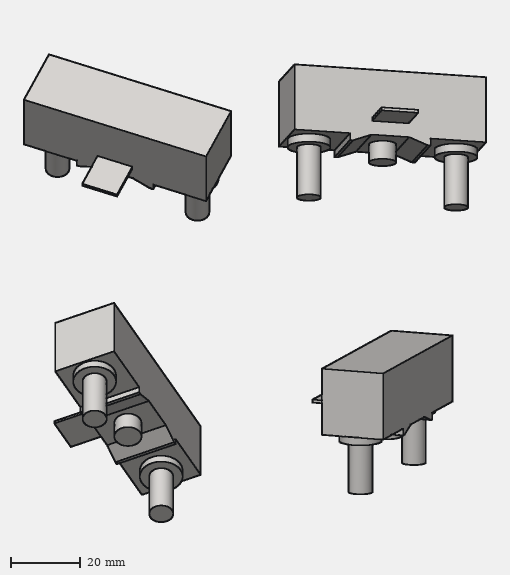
import cadquery as cq

block_length = 57.15
block_depth = 19.0
block_height = 19.6
total_depth = 30.6
total_height = 37.1

pin_offset = 21.95
pin_diameter = 7.0
pin_reach = total_height - block_height
flange_diameter = 12.4
flange_height = 2.4

boss_diameter = 7.9
boss_height = 5.45

rail_outer_x = 12.0
rail_inner_x = 5.6
rail_height = 2.05
rail_tip_width = 0.9

tab_width = 10.9
tab_reach = total_depth - block_depth
tab_thickness = 0.9
tab_bottom_z = 4.1


def hanging_cylinder(x, diameter, height):
    """Cylinder hanging from the underside of the block."""
    return cq.Workplane("XY").center(x, 0).circle(diameter / 2).extrude(-height)


def wedge_rail(side):
    """Wedge rail with a vertical outer wall and a slope towards the boss."""
    profile = [
        (side * rail_outer_x, 0),
        (side * rail_outer_x, -rail_height),
        (side * (rail_outer_x - rail_tip_width), -rail_height),
        (side * rail_inner_x, 0),
    ]
    return cq.Workplane("XZ").polyline(profile).close().extrude(block_depth / 2, both=True)


block = cq.Workplane("XY").box(
    block_length, block_depth, block_height, centered=(True, True, False)
)

tab = (
    cq.Workplane("XY")
    .box(tab_width, tab_reach, tab_thickness, centered=(True, False, False))
    .translate((0, -block_depth / 2 - tab_reach, tab_bottom_z))
)

result = block.union(tab).union(hanging_cylinder(0, boss_diameter, boss_height))
for side in (-1, 1):
    pin_x = side * pin_offset
    result = result.union(hanging_cylinder(pin_x, flange_diameter, flange_height))
    result = result.union(hanging_cylinder(pin_x, pin_diameter, pin_reach))
    result = result.union(wedge_rail(side))